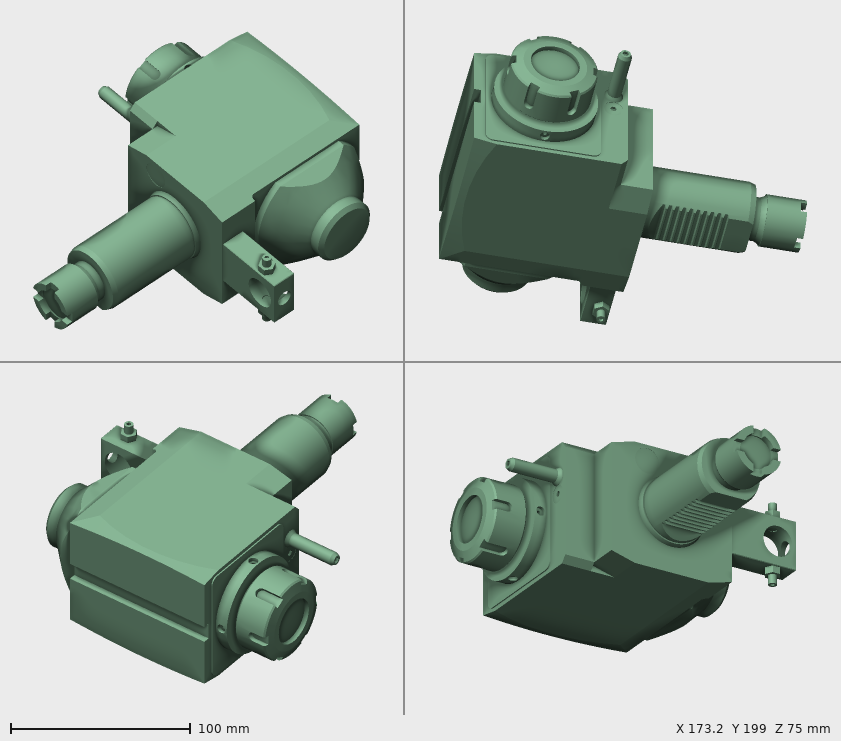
import cadquery as cq
import math


total_height = 75.0
half_height = total_height / 2
back_y = 105.9
left_x = -58.1
right_x = 35.6
foot_right_x = 39.5
foot_top_y = 26.3
foot_chamfer = 1.5
step_x = -39.2
step_y = 18.3
chamfer_y = 21.9
chamfer_drop = 4.2
bevel_angle = 15.0
right_bevel_x = 24.0
left_bevel_x = -23.9
bevel_slope = math.tan(math.radians(bevel_angle))
cone_angle = 11.5
cone_slope = math.tan(math.radians(cone_angle))
cone_center = (-16.0, -6.0)
cone_top_radius = 107.5
slot_width = 10.5
slot_depth = 4.0
plug_center = (-16.0, 27.7)
plug_radius = 7.8
seam_depth = 0.2

spindle_y = 66.7
plate_size = (65.5, 70.0)
plate_thickness = 0.8
plate_corner = 4.4
ring_radius = 29.7
ring_end_x = -66.5
ring_screw_x = -62.7
ring_screw_radius = 2.8
ring_screw_depth = 2.4
ring_socket_radius = 1.2
neck_radius = 20.7
nut_start_x = -68.5
nut_end_x = -91.0
nut_radius = 24.9
nut_edge = 1.0
nut_rim_radius = 24.0
nut_flat_radius = 18.1
nut_cone_length = 1.8
nut_bore_radius = 14.0
nut_bore_depth = 3.0
nut_slot_width = 6.0
nut_slot_floor = 21.9
long_slot_end_x = -74.0
short_slot_end_x = -78.2

cover_radius = 40.0
cover_rim_x = 39.8
cover_flat_y = 31.6
cover_half_height = 32.2
cover_neck_radius = 19.3
cover_end_x = 69.0
cover_chamfer = 2.4

collar_radius = 21.5
collar_length = 2.8
collar_end_radius = 20.5
shank_radius = 20.0
relief_radius = 19.7
relief_length = 1.0
shank_end_radius = 19.1
shank_chamfer_y = -60.0
shank_end_y = -63.3
shank_neck_radius = 12.3
flare_start_y = -67.5
flare_end_y = -70.6
flare_end_radius = 14.0
clamp_radius = 14.7
total_length = 199.0
tip_y = back_y - total_length
clamp_bore_radius = 10.1
clamp_bore_depth = 4.4
clamp_slot_width = 7.2
clamp_slot_depth = 3.5
flat_z = -16.3
root_z = -15.0
ramp_start_y = -6.2
tooth_pitch = 4.0
first_gap_y = -15.7
gap_count = 9
gap_root_width = 1.5
gap_tip_width = 3.0

pin_y = 26.5
pin_z = 18.0
pin_radius = 4.0
pin_tip_x = -90.5
pin_chamfer = 2.2
pin_base_radius = 5.4
pin_base_length = 2.2
lock_screw_z = 7.4
lock_screw_radius = 5.4
socket_size = 3.8
socket_depth = 1.5

bracket_end_x = 82.2
bracket_front_y = 0.8
bracket_back_y = 15.7
bracket_half_height = 15.1
bracket_edge = 0.4
bracket_hole_x = 70.0
bracket_hole_radius = 9.4
end_hole_radius = 4.8
stud_x = 69.8
stud_y = 6.2
stud_radius = 2.5
stud_end_z = 24.9
stud_hole_z = 9.5
hex_size = 9.8
hex_end_z = 19.3
stud_socket_size = 2.8


def box(x0, x1, y0, y1, z0, z1):
    return cq.Workplane("XY").box(x1 - x0, y1 - y0, z1 - z0, centered=False).translate((x0, y0, z0))


def rod_x(radius, x0, x1, y, z):
    return cq.Workplane("YZ", origin=(x0, y, z)).circle(radius).extrude(x1 - x0)


def both_sides(solid):
    """The solid together with its mirror image below the XY plane."""
    return solid.union(solid.mirror("XY"))


def turned_x(profile, y, z):
    """Turn a list of (x, radius) points about a line parallel to X."""
    points = [(profile[0][0], 0)] + profile + [(profile[-1][0], 0)]
    solid = cq.Workplane("XY").polyline(points).close().revolve(360, (0, 0, 0), (1, 0, 0))
    return solid.translate((0, y, z))


def turned_y(profile):
    """Turn a list of (radius, y) points about the Y axis."""
    points = [(0, profile[0][1])] + profile + [(0, profile[-1][1])]
    return cq.Workplane("XY").polyline(points).close().revolve(360, (0, 0, 0), (0, 1, 0))


def hex_z(size, x, y, z0, z1):
    return cq.Workplane("XY", origin=(x, y, z0)).polygon(6, size).extrude(z1 - z0)


def make_housing():
    plan = [
        (left_x, back_y),
        (right_x, back_y),
        (right_x, foot_top_y),
        (right_x + foot_chamfer, foot_top_y - foot_chamfer),
        (foot_right_x, foot_top_y - foot_chamfer),
        (foot_right_x, 0),
        (step_x, 0),
        (step_x, step_y),
        (left_x, step_y),
    ]
    body = cq.Workplane("XY", origin=(0, 0, -half_height)).polyline(plan).close().extrude(total_height)

    right_drop = (foot_right_x - right_bevel_x) * bevel_slope
    right_wedge = cq.Workplane("XZ", origin=(0, back_y, 0)).polyline([
        (right_bevel_x, half_height),
        (foot_right_x, half_height),
        (foot_right_x, half_height - right_drop),
    ]).close().extrude(back_y)
    body = body.cut(both_sides(right_wedge))

    left_drop = (left_bevel_x - step_x) * bevel_slope
    left_wedge = cq.Workplane("XZ", origin=(0, chamfer_y, 0)).polyline([
        (left_bevel_x, half_height),
        (step_x, half_height),
        (step_x, half_height - left_drop),
    ]).close().extrude(chamfer_y)
    body = body.cut(both_sides(left_wedge))

    wing_wedge = cq.Workplane("YZ", origin=(left_x, 0, 0)).polyline([
        (chamfer_y, half_height),
        (step_y, half_height),
        (step_y, half_height - chamfer_drop),
    ]).close().extrude(step_x - left_x)
    body = body.cut(both_sides(wing_wedge))

    middle_radius = cone_top_radius + half_height / cone_slope
    double_cone = cq.Workplane("XZ").polyline([
        (0, half_height),
        (cone_top_radius, half_height),
        (middle_radius, 0),
        (cone_top_radius, -half_height),
        (0, -half_height),
    ]).close().revolve(360, (0, 0, 0), (0, 1, 0)).translate((cone_center[0], cone_center[1], 0))
    body = body.intersect(double_cone)

    keyway = box(left_x, right_x, back_y - slot_depth, back_y, -slot_width / 2, slot_width / 2)
    plug_seat = cq.Workplane("XZ", origin=(plug_center[0], 0, plug_center[1])).circle(plug_radius)
    return body.cut(keyway).cut(plug_seat.extrude(-seam_depth))


def make_nut_slot(angle, end_x):
    """Round-ended spanner slot, open at the nose end."""
    round_x = end_x - nut_slot_width / 2
    cutter_height = 2 * (nut_radius - nut_slot_floor)
    slot = box(nut_end_x, round_x, -nut_slot_width / 2, nut_slot_width / 2, 0, cutter_height)
    round_end = cq.Workplane("XY", origin=(round_x, 0, 0)).circle(nut_slot_width / 2).extrude(cutter_height)
    slot = slot.union(round_end).translate((0, 0, nut_slot_floor))
    return slot.rotate((0, 0, 0), (1, 0, 0), angle).translate((0, spindle_y, 0))


def make_spindle_nose():
    plate = cq.Workplane("YZ", origin=(left_x, spindle_y, 0)).rect(*plate_size).extrude(-plate_thickness)
    plate = plate.edges("|X").fillet(plate_corner)

    cone_end_x = nut_end_x + nut_cone_length
    nose = turned_x([
        (left_x, ring_radius),
        (ring_end_x, ring_radius),
        (ring_end_x, neck_radius),
        (nut_start_x, neck_radius),
        (nut_start_x, nut_radius - nut_edge),
        (nut_start_x - nut_edge, nut_radius),
        (cone_end_x + nut_edge, nut_radius),
        (cone_end_x, nut_rim_radius),
        (nut_end_x, nut_flat_radius),
    ], spindle_y, 0)
    nose = nose.cut(rod_x(nut_bore_radius, nut_end_x, nut_end_x + nut_bore_depth, spindle_y, 0))

    for angle in range(30, 390, 60):
        on_spindle_plane = angle % 180 == 90
        end_x = short_slot_end_x if on_spindle_plane else long_slot_end_x
        nose = nose.cut(make_nut_slot(angle, end_x))

    for angle in range(0, 360, 90):
        floor_z = ring_radius - ring_screw_depth
        floor = cq.Workplane("XY", origin=(ring_screw_x, 0, floor_z))
        sink = floor.circle(ring_screw_radius).extrude(ring_screw_depth)
        socket = floor.circle(ring_socket_radius).extrude(-ring_screw_depth)
        hole = sink.union(socket)
        nose = nose.cut(hole.rotate((0, 0, 0), (1, 0, 0), angle).translate((0, spindle_y, 0)))
    return plate.union(nose)


def make_rear_cover():
    cone_length = cover_radius - cover_neck_radius
    cover = turned_x([
        (right_x, cover_radius),
        (cover_rim_x, cover_radius),
        (cover_rim_x + cone_length, cover_neck_radius),
        (cover_end_x - cover_chamfer, cover_neck_radius),
        (cover_end_x, cover_neck_radius - cover_chamfer),
    ], spindle_y, 0)
    end_half = cover_half_height - (cover_end_x - cover_rim_x) * bevel_slope
    envelope = cq.Workplane("XZ", origin=(0, spindle_y + cover_flat_y, 0)).polyline([
        (right_x, -cover_half_height),
        (cover_rim_x, -cover_half_height),
        (cover_end_x, -end_half),
        (cover_end_x, end_half),
        (cover_rim_x, cover_half_height),
        (right_x, cover_half_height),
    ]).close().extrude(cover_flat_y + cover_radius)
    return cover.intersect(envelope)


def make_shank():
    shank = turned_y([
        (collar_radius, 0),
        (collar_end_radius, -collar_length),
        (relief_radius, -collar_length),
        (relief_radius, -collar_length - relief_length),
        (shank_radius, -collar_length - relief_length),
        (shank_radius, shank_chamfer_y),
        (shank_end_radius, shank_end_y),
        (shank_neck_radius, shank_end_y),
        (shank_neck_radius, flare_start_y),
        (flare_end_radius, flare_end_y),
        (clamp_radius, flare_end_y),
        (clamp_radius, tip_y),
    ])

    flat_cut = cq.Workplane("YZ", origin=(-shank_radius, 0, 0)).polyline([
        (ramp_start_y, -shank_radius),
        (ramp_start_y - (shank_radius + root_z), root_z),
        (first_gap_y + tooth_pitch - gap_root_width / 2, root_z),
        (first_gap_y + tooth_pitch - gap_tip_width / 2, flat_z),
        (shank_end_y, flat_z),
        (shank_end_y, -shank_radius),
    ]).close().extrude(2 * shank_radius)
    shank = shank.cut(flat_cut)

    for index in range(gap_count):
        gap_y = first_gap_y - index * tooth_pitch
        gap = cq.Workplane("YZ", origin=(-shank_radius, 0, 0)).polyline([
            (gap_y - gap_tip_width / 2, flat_z),
            (gap_y - gap_root_width / 2, root_z),
            (gap_y + gap_root_width / 2, root_z),
            (gap_y + gap_tip_width / 2, flat_z),
        ]).close().extrude(2 * shank_radius)
        shank = shank.cut(gap)

    recess = cq.Workplane("XZ", origin=(0, tip_y, 0)).circle(clamp_bore_radius).extrude(-clamp_bore_depth)
    shank = shank.cut(recess)
    half_width = clamp_slot_width / 2
    slot_top_y = tip_y + clamp_slot_depth
    shank = shank.cut(box(-clamp_radius, clamp_radius, tip_y, slot_top_y, -half_width, half_width))
    return shank.cut(box(-half_width, half_width, tip_y, slot_top_y, -clamp_radius, clamp_radius))


def hex_socket_x(x, z):
    """Hexagon socket sunk in the +X direction, in the plane shared by pin and lock screw."""
    return cq.Workplane("YZ", origin=(x, pin_y, z)).polygon(6, socket_size).extrude(socket_depth)


def make_stop_pin():
    pin = turned_x([
        (left_x, pin_base_radius),
        (left_x - pin_base_length, pin_radius),
        (pin_tip_x + pin_chamfer, pin_radius),
        (pin_tip_x, pin_radius - pin_chamfer / 2),
    ], pin_y, pin_z)
    return pin.cut(hex_socket_x(pin_tip_x, pin_z))


def make_lock_screw_seat():
    """Shallow round seat with a hexagon socket in its floor."""
    seat = rod_x(lock_screw_radius, left_x, left_x + seam_depth, pin_y, lock_screw_z)
    return seat.union(hex_socket_x(left_x, lock_screw_z))


def make_bracket():
    bracket = box(foot_right_x, bracket_end_x, bracket_front_y, bracket_back_y,
                  -bracket_half_height, bracket_half_height)
    bracket = bracket.edges("|X or >X").chamfer(bracket_edge)
    hole = cq.Workplane("XZ", origin=(bracket_hole_x, bracket_back_y, 0)).circle(bracket_hole_radius)
    bracket = bracket.cut(hole.extrude(bracket_back_y - bracket_front_y))

    bracket_middle_y = (bracket_front_y + bracket_back_y) / 2
    bracket = bracket.cut(rod_x(end_hole_radius, bracket_hole_x, bracket_end_x, bracket_middle_y, 0))

    stud = cq.Workplane("XY", origin=(stud_x, stud_y, stud_hole_z)).circle(stud_radius)
    stud_hole = cq.Workplane("XY", origin=(stud_x, stud_y, 0)).circle(stud_radius).extrude(stud_hole_z)
    nut = hex_z(hex_size, stud_x, stud_y, bracket_half_height, hex_end_z)
    socket = hex_z(stud_socket_size, stud_x, stud_y, stud_end_z - socket_depth, stud_end_z)
    fastener = stud.extrude(stud_end_z - stud_hole_z).union(nut).cut(socket)
    return bracket.cut(both_sides(stud_hole)).union(fastener).union(fastener.mirror("XY"))


result = make_housing()
result = result.union(make_spindle_nose())
result = result.union(make_rear_cover())
result = result.union(make_shank())
result = result.cut(make_lock_screw_seat())
result = result.union(make_stop_pin())
result = result.union(make_bracket())